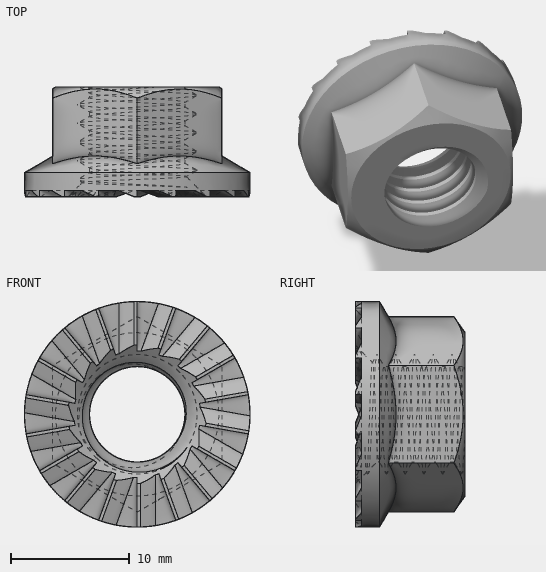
import cadquery as cq
import math


HEIGHT = 9.28
FLANGE_RADIUS = 9.52

RIM_TOP = 2.04
FLANGE_SLOPE = 30.5

ACROSS_FLATS = 14.29
CORNER_RADIUS = ACROSS_FLATS / math.sqrt(3)
TOP_FACE_RADIUS = 6.9
CHAMFER_START = 8.32

TOOTH_COUNT = 18
TOOTH_HEIGHT = 0.51
TOOTH_WIDTH = 1.52
TOOTH_TIP_WIDTH = 0.27
RIM_CLEARANCE = 0.76

BORE_RADIUS = 4.02
COUNTERSINK_RADIUS = 5.85
THREAD_PITCH = 1.58
CREST_WIDTH = THREAD_PITCH / 4
HALF_THREAD_ANGLE = math.radians(30)
ROOT_RADIUS = BORE_RADIUS + (THREAD_PITCH - CREST_WIDTH) / 2 / math.tan(HALF_THREAD_ANGLE)
THREAD_START_ANGLE = 33.5
CUTTER_OVERLAP = 0.15


def revolve_outline(outline):
    """Solid of revolution about Z from (radius, height) points."""
    return cq.Workplane("XZ").polyline(outline).close().revolve(360, (0, 0), (0, 1))


def make_flange():
    """Round rim with a conical upper side that continues to a point inside the nut body."""
    apex = RIM_TOP + FLANGE_RADIUS * math.tan(math.radians(FLANGE_SLOPE))
    outline = [(0, 0), (FLANGE_RADIUS, 0), (FLANGE_RADIUS, RIM_TOP), (0, apex)]
    return revolve_outline(outline)


def make_hexagon():
    """Hexagon with corners along Y and a conical chamfer on its top end."""
    prism = (
        cq.Workplane("XY", origin=(0, 0, TOOTH_HEIGHT))
        .polygon(6, 2 * CORNER_RADIUS)
        .extrude(HEIGHT - TOOTH_HEIGHT)
        .rotate((0, 0, 0), (0, 0, 1), 90)
    )
    chamfer_slope = (HEIGHT - CHAMFER_START) / (CORNER_RADIUS - TOP_FACE_RADIUS)
    cone_base = HEIGHT - chamfer_slope * (FLANGE_RADIUS - TOP_FACE_RADIUS)
    outline = [(0, 0), (FLANGE_RADIUS, 0), (FLANGE_RADIUS, cone_base), (TOP_FACE_RADIUS, HEIGHT), (0, HEIGHT)]
    envelope = revolve_outline(outline)
    return prism.intersect(envelope)


def make_tooth():
    """Radial saw tooth along X: one upright flank, a narrow flat tip and a ramp."""
    profile = [(0, TOOTH_HEIGHT), (0, 0), (-TOOTH_TIP_WIDTH, 0), (-TOOTH_WIDTH, TOOTH_HEIGHT)]
    return cq.Workplane("YZ").polyline(profile).close().extrude(FLANGE_RADIUS + RIM_CLEARANCE)


def make_tooth_gaps():
    """Everything between the teeth, as a ring with the teeth taken out of it."""
    gaps = (
        cq.Workplane("XY")
        .circle(FLANGE_RADIUS + RIM_CLEARANCE / 2)
        .circle(ROOT_RADIUS)
        .extrude(TOOTH_HEIGHT)
    )
    tooth = make_tooth()
    step = 360 / TOOTH_COUNT
    for i in range(TOOTH_COUNT):
        gaps = gaps.cut(tooth.rotate((0, 0, 0), (0, 0, 1), (i + 0.5) * step))
    return gaps


def make_countersink():
    """Cone that opens the bore at the bearing face."""
    depth = COUNTERSINK_RADIUS - BORE_RADIUS
    outline = [(0, 0), (COUNTERSINK_RADIUS, 0), (BORE_RADIUS, depth), (0, depth)]
    return revolve_outline(outline)


def make_thread_cutter():
    """Right-hand helical V groove, bounded by ruled faces, that runs past both ends of the bore."""
    inner_radius = BORE_RADIUS - CUTTER_OVERLAP
    half_width = (ROOT_RADIUS - inner_radius) * math.tan(HALF_THREAD_ANGLE)
    root_start = COUNTERSINK_RADIUS - ROOT_RADIUS - THREAD_PITCH
    turns = math.ceil((HEIGHT - root_start) / THREAD_PITCH)

    corners = [(inner_radius, -half_width), (ROOT_RADIUS, 0), (inner_radius, half_width)]
    edges = [
        cq.Wire.makeHelix(THREAD_PITCH, turns * THREAD_PITCH, radius).translate(cq.Vector(0, 0, height))
        for radius, height in corners
    ]
    faces = [cq.Face.makeRuledSurface(edges[i - 1], edges[i]) for i in range(len(edges))]
    for end in (0, 1):
        triangle = cq.Wire.makePolygon([edge.positionAt(end) for edge in edges], close=True)
        faces.append(cq.Face.makeFromWires(triangle))
    groove = cq.Workplane(cq.Solid.makeSolid(cq.Shell.makeShell(faces)))
    return groove.rotate((0, 0, 0), (0, 0, 1), THREAD_START_ANGLE).translate((0, 0, root_start))


nut = make_flange().union(make_hexagon())
nut = nut.cut(cq.Workplane("XY").circle(BORE_RADIUS).extrude(HEIGHT))
nut = nut.cut(make_countersink())
nut = nut.cut(make_tooth_gaps())
nut = nut.cut(make_thread_cutter())

result = nut.rotate((0, 0, 0), (1, 0, 0), -90)